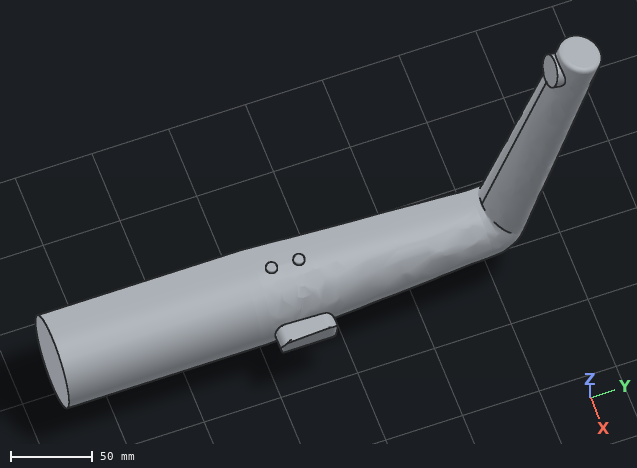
import cadquery as cq
import math

grip_radius = 30.0
grip_length = 125.0

shaft_start = (131.8, 0.0, -3.3, grip_radius)
elbow_start = (279.3, 2.0, 8.0, 21.8)
elbow_middle = (288.5, 5.5, 26.0, 21.0)
elbow_end = (293.2, 12.0, 45.0, 19.0)
tip = (344.3, 176.5, 73.0, 14.0)
tip_rounding = 3.0

lens_center = (324.3, 165.7)
lens_radius = 10.5
lens_depth = 10.7

buttons = [(143.0, 31.8, 0.0), (160.7, 31.0, 2.5)]
button_radius = 3.5
button_height = 5.5
button_rounding = 1.0

lever_inner_x = 28.5
lever_outer_x = 41.5
lever_taper = 1.25
lever_start_y = 134.3
lever_end_y = 172.5
lever_bottom_z = -6.8
lever_top_z = 8.5
lever_front_rounding = 2.0
lever_far_rounding = 5.0
lever_top_rounding = 1.8
lever_bottom_rounding = 5.7


def plane_facing(y, z, lean):
    """Plane in the arm's symmetry plane, its normal leaning from +Y toward +Z."""
    angle = math.radians(lean)
    return cq.Plane(origin=(0, y, z), xDir=(1, 0, 0), normal=(0, math.cos(angle), math.sin(angle)))


def section(y, z, lean, radius):
    plane = plane_facing(y, z, lean)
    return cq.Wire.makeCircle(radius, plane.origin, plane.zDir)


def skin(*stations):
    """Solid through the circular sections at the given stations."""
    return cq.Workplane(cq.Solid.makeLoft([section(*station) for station in stations]))


def make_arm():
    grip = cq.Workplane("XZ").circle(grip_radius).extrude(-grip_length)
    collar = skin((grip_length, 0.0, 0.0, grip_radius), shaft_start)
    shaft = skin(shaft_start, elbow_start)
    elbow = skin(elbow_start, elbow_middle, elbow_end)
    neck = skin(elbow_end, tip).faces(">Z").edges().fillet(tip_rounding)
    return grip.union(collar).union(shaft).union(elbow).union(neck)


def make_lens():
    inward = plane_facing(*lens_center, tip[2] - 90)
    return cq.Workplane(inward).circle(lens_radius).extrude(lens_depth)


def make_button(y, top_z, lean):
    top = plane_facing(y, top_z, 90 - lean)
    body = cq.Workplane(top).circle(button_radius).extrude(-button_height)
    return body.faces(">Z").edges().fillet(button_rounding)


def make_lever():
    """Common volume of the lever's tapered plan, round-ended side and rounded end profile."""
    length = lever_end_y - lever_start_y
    height = lever_top_z - lever_bottom_z
    width = lever_outer_x - lever_inner_x
    middle_x = (lever_inner_x + lever_outer_x) / 2
    middle_y = (lever_start_y + lever_end_y) / 2
    middle_z = (lever_bottom_z + lever_top_z) / 2

    plan = (
        cq.Workplane("XY", origin=(0, 0, lever_bottom_z))
        .moveTo(lever_inner_x, lever_start_y)
        .lineTo(lever_outer_x, lever_start_y)
        .lineTo(lever_outer_x - lever_taper, lever_end_y)
        .lineTo(lever_inner_x + lever_taper, lever_end_y)
        .close()
        .extrude(height)
    )
    plan = plan.edges("|Z and >Y").fillet(lever_far_rounding)
    plan = plan.edges("|Z and >X").fillet(lever_front_rounding)

    side = (
        cq.Workplane("YZ", origin=(lever_inner_x, middle_y, middle_z))
        .slot2D(length, height)
        .extrude(width)
    )

    end = cq.Workplane("XY").box(width, length, height).translate((middle_x, middle_y, middle_z))
    end = end.edges("|Y and >X and >Z").fillet(lever_top_rounding)
    end = end.edges("|Y and >X and <Z").fillet(lever_bottom_rounding)
    return plan.intersect(side).intersect(end)


result = make_arm().union(make_lens()).union(make_lever())
for button in buttons:
    result = result.union(make_button(*button))